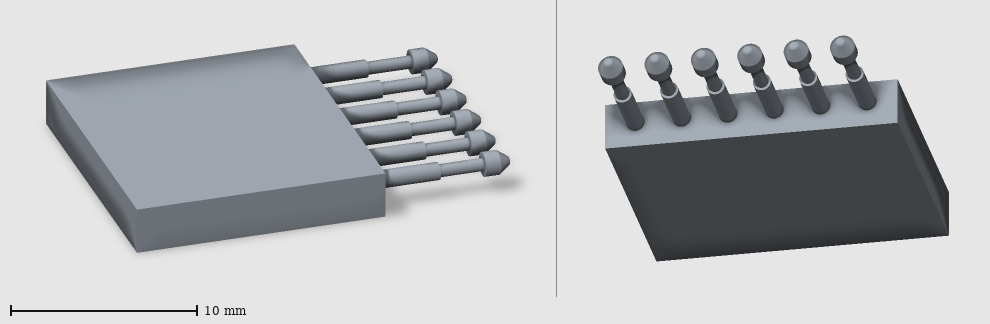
import cadquery as cq

HOUSING_WIDTH = 16.0
HOUSING_HEIGHT = 2.6
OVERALL_LENGTH = 21.5

BARREL_DIAMETER = 1.0
PLUNGER_DIAMETER = 0.7
HEAD_DIAMETER = 1.35
TIP_DIAMETER = 0.4
TIP_ROUNDING = 0.2

BARREL_LENGTH = 3.5
PLUNGER_LENGTH = 2.5
HEAD_LENGTH = 0.84
CONE_LENGTH = 0.67
PIN_LENGTH = BARREL_LENGTH + PLUNGER_LENGTH + HEAD_LENGTH + CONE_LENGTH

HOUSING_LENGTH = OVERALL_LENGTH - PIN_LENGTH

PIN_COUNT = 6
PIN_PITCH = 2.54
PIN_RAISE = 0.1


def make_housing():
    """Plain block with its +Y face, where the pins start, at Y = 0."""
    return cq.Workplane("XY").box(
        HOUSING_WIDTH, HOUSING_LENGTH, HOUSING_HEIGHT
    ).translate((0, -HOUSING_LENGTH / 2, 0))


def make_pin(x):
    """Stepped round pin along +Y: barrel, plunger, then a head with a blunt cone."""
    plunger_start = BARREL_LENGTH
    head_start = plunger_start + PLUNGER_LENGTH
    cone_start = head_start + HEAD_LENGTH
    half_profile = (
        cq.Workplane("XY")
        .lineTo(BARREL_DIAMETER / 2, 0)
        .lineTo(BARREL_DIAMETER / 2, plunger_start)
        .lineTo(PLUNGER_DIAMETER / 2, plunger_start)
        .lineTo(PLUNGER_DIAMETER / 2, head_start)
        .lineTo(HEAD_DIAMETER / 2, head_start)
        .lineTo(HEAD_DIAMETER / 2, cone_start)
        .lineTo(TIP_DIAMETER / 2, PIN_LENGTH)
        .lineTo(0, PIN_LENGTH)
        .close()
    )
    pin = half_profile.revolve(360, (0, 0, 0), (0, 1, 0))
    pin = pin.faces(">Y").edges().fillet(TIP_ROUNDING)
    return pin.translate((x, 0, PIN_RAISE))


housing = make_housing()

first_pin_x = -PIN_PITCH * (PIN_COUNT - 1) / 2
pins = [make_pin(first_pin_x + i * PIN_PITCH) for i in range(PIN_COUNT)]

result = cq.Compound.makeCompound([housing.val(), *[pin.val() for pin in pins]])